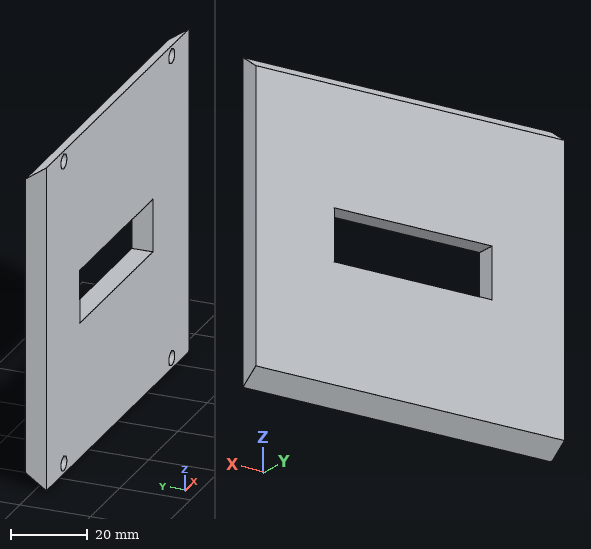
import cadquery as cq
import math

plate_width = 98.0
plate_height = 92.2
plate_thickness = 6.0
bevel_angle = 35.0

window_width = 50.0
window_height = 15.0
window_left_margin = 23.0

dimple_radius = 2.0
dimple_side_margin = 12.0
dimple_end_margin = 3.0
dimple_offset_x = plate_width / 2 - dimple_side_margin
dimple_offset_z = plate_height / 2 - dimple_end_margin


def make_plate():
    """Plate with a trapezoidal section: full height at the front, shorter at the back."""
    front_half = plate_height / 2
    back_half = front_half - plate_thickness * math.tan(math.radians(bevel_angle))
    section = [
        (0, -front_half),
        (plate_thickness, -back_half),
        (plate_thickness, back_half),
        (0, front_half),
    ]
    return cq.Workplane("YZ").polyline(section).close().extrude(plate_width / 2, both=True)


def make_window():
    """Cutter for the window, longer than the plate is thick."""
    center_x = -plate_width / 2 + window_left_margin + window_width / 2
    cutter_depth = 3 * plate_thickness
    return cq.Workplane("XY").box(window_width, cutter_depth, window_height).translate((center_x, 0, 0))


def make_dimple(center_x, center_z):
    """Sphere centred on the front face, so it cuts a hemisphere."""
    return cq.Workplane("XZ").center(center_x, center_z).sphere(dimple_radius)


result = make_plate().cut(make_window())
for side_x in (-1, 1):
    for side_z in (-1, 1):
        dimple = make_dimple(side_x * dimple_offset_x, side_z * dimple_offset_z)
        result = result.cut(dimple)